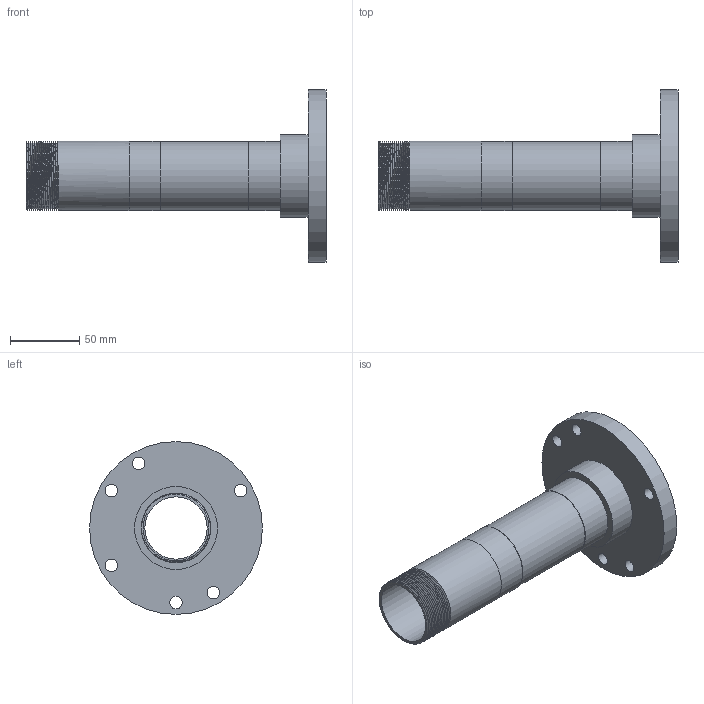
import cadquery as cq
import math

thread_length = 23.0
pipe_end = 75.0
front_seat_end = 97.0
rear_seat_start = 161.0
hub_start = 184.0
flange_start = 204.0
total_length = 217.0

pipe_diameter = 50.0
seat_diameter = 49.97
relief_diameter = 49.3
hub_diameter = 60.0
flange_diameter = 125.0
bore_diameter = 45.0

hole_diameter = 9.0
hole_circle_radius = 54.0
hole_angles = (30, 60, 150, 240, 270, 330)

thread_pitch = 1.5
thread_flank_angle = 30.0
crest_flat = 0.05
groove_overshoot = 0.02


def cylinder(diameter, start, end):
    """Cylinder on the X axis between two stations."""
    return cq.Workplane("YZ").workplane(offset=start).circle(diameter / 2).extrude(end - start)


def make_body():
    """Stepped solid of revolution: pipe, two seats, relief, hub and flange."""
    body = cylinder(pipe_diameter, 0, pipe_end)
    steps = (
        (seat_diameter, pipe_end, front_seat_end),
        (relief_diameter, front_seat_end, rear_seat_start),
        (seat_diameter, rear_seat_start, hub_start),
        (hub_diameter, hub_start, flange_start),
        (flange_diameter, flange_start, total_length),
    )
    for diameter, start, end in steps:
        body = body.union(cylinder(diameter, start, end))
    return body


def make_thread_groove():
    """Helical V groove that enters one pitch ahead of the pipe end and stops at the thread length."""
    flank_slope = math.tan(math.radians(thread_flank_angle))
    thread_depth = (thread_pitch - crest_flat) / 2 / flank_slope
    root_radius = pipe_diameter / 2 - thread_depth
    outer_radius = pipe_diameter / 2 + groove_overshoot
    outer_half_width = (outer_radius - root_radius) * flank_slope

    helix = cq.Wire.makeHelix(thread_pitch, thread_length + thread_pitch, root_radius)
    groove = (
        cq.Workplane("XZ")
        .polyline([
            (root_radius, 0),
            (outer_radius, -outer_half_width),
            (outer_radius, outer_half_width),
        ])
        .close()
        .sweep(cq.Workplane(obj=helix), isFrenet=True)
    )
    laid_groove = groove.rotate((0, 0, 0), (0, 1, 0), 90).rotate((0, 0, 0), (1, 0, 0), -90)
    return laid_groove.translate((-thread_pitch, 0, 0))


def make_flange_holes():
    """Through holes on the flange bolt circle."""
    points = [
        (
            hole_circle_radius * math.cos(math.radians(angle)),
            hole_circle_radius * math.sin(math.radians(angle)),
        )
        for angle in hole_angles
    ]
    return (
        cq.Workplane("YZ")
        .workplane(offset=flange_start)
        .pushPoints(points)
        .circle(hole_diameter / 2)
        .extrude(total_length - flange_start)
    )


result = (
    make_body()
    .cut(cylinder(bore_diameter, 0, total_length))
    .cut(make_flange_holes())
    .cut(make_thread_groove())
)